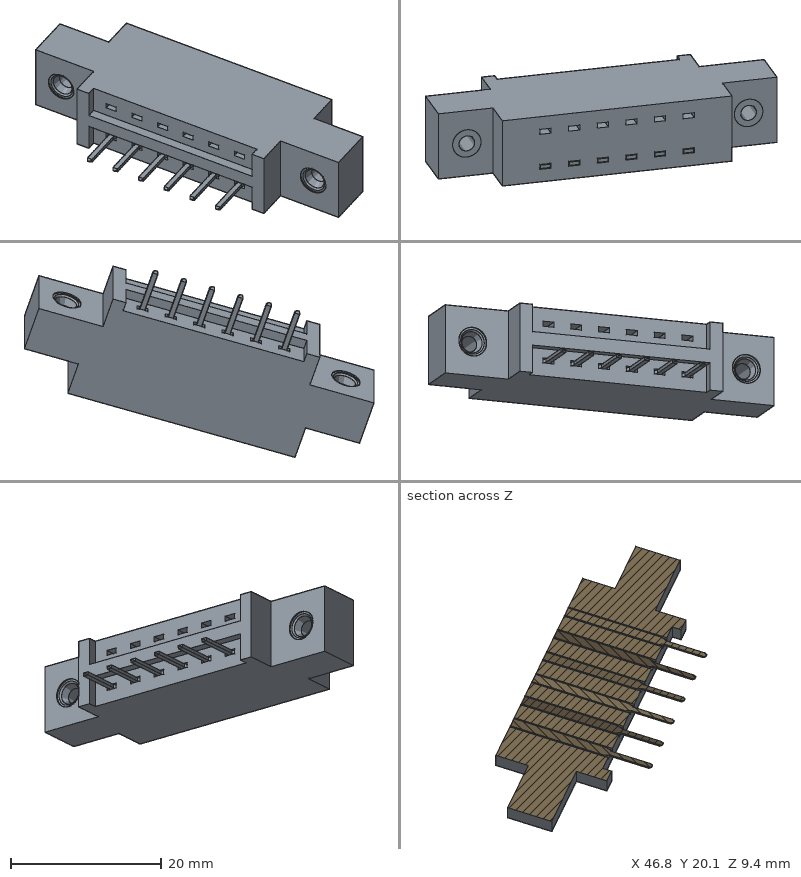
import cadquery as cq

LENGTH = 46.8
HEIGHT = 9.4
REAR_WIDTH = 31.72
REAR_DEPTH = 4.65
FLANGE_DEPTH = 6.35
NOSE_WIDTH = 28.85
NOSE_DEPTH = 4.35
HOUSING_DEPTH = NOSE_DEPTH + FLANGE_DEPTH + REAR_DEPTH

FLANGE_FRONT = NOSE_DEPTH
FLANGE_BACK = FLANGE_FRONT + FLANGE_DEPTH

RECESS_WIDTH = 25.2
RECESS_DEPTH = 1.25
RIB_HEIGHT = 1.85
RECESS_HEIGHT = (HEIGHT - RIB_HEIGHT) / 2
RECESS_Z = (RIB_HEIGHT + RECESS_HEIGHT) / 2

CONTACTS = 6
ROW_SPAN = 19.8
PITCH = ROW_SPAN / (CONTACTS - 1)
CONTACT_X = [-ROW_SPAN / 2 + i * PITCH for i in range(CONTACTS)]
ROW_Z = 2.55
SLOT_WIDTH = 1.55
SLOT_HEIGHT = 0.7

PIN_WIDTH = 0.7
PIN_THICKNESS = 0.45
PIN_REACH = 4.7
TIP_LENGTH = 0.35
TIP_WIDTH = 0.37
TIP_THICKNESS = 0.1
BLADE_WIDTH = 1.35
SHOULDER_LENGTH = 0.7

BUSHING_SPACING = 38.95
BUSHING_X = [-BUSHING_SPACING / 2, BUSHING_SPACING / 2]
BUSHING_RADIUS = 1.95
BUSHING_RECESS = 0.2
MOUTH_RADIUS = 1.7
THROAT_RADIUS = 1.45
BORE_RADIUS = 1.08
MOUTH_DEPTH = 0.25
TAPER_DEPTH = 1.05


def centred_box(width, height, y_start, y_end, x=0.0, z=0.0):
    """Box centred on (x, z) that runs from y_start to y_end."""
    depth = y_end - y_start
    return cq.Workplane("XY").box(width, depth, height).translate((x, y_start + depth / 2, z))


def make_housing():
    body = centred_box(NOSE_WIDTH, HEIGHT, 0, FLANGE_FRONT)
    body = body.union(centred_box(LENGTH, HEIGHT, FLANGE_FRONT, FLANGE_BACK))
    body = body.union(centred_box(REAR_WIDTH, HEIGHT, FLANGE_BACK, HOUSING_DEPTH))

    for side in (-1, 1):
        body = body.cut(centred_box(RECESS_WIDTH, RECESS_HEIGHT, 0, RECESS_DEPTH, z=side * RECESS_Z))
        for x in CONTACT_X:
            body = body.cut(centred_box(SLOT_WIDTH, SLOT_HEIGHT, 0, HOUSING_DEPTH, x, side * ROW_Z))

    for x in BUSHING_X:
        hole = cq.Workplane("XZ").center(x, 0).circle(BUSHING_RADIUS).extrude(-HOUSING_DEPTH)
        body = body.cut(hole)
    return body


def make_pin(x):
    """Blade lying in the lower slot, narrowing through sloped shoulders to a pin with a tapered tip."""
    shoulder_end = RECESS_DEPTH
    shoulder_start = shoulder_end + SHOULDER_LENGTH
    tip_start = TIP_LENGTH - PIN_REACH
    half_pin = PIN_WIDTH / 2
    half_blade = BLADE_WIDTH / 2
    right_side = [
        (half_pin, tip_start),
        (half_pin, shoulder_end),
        (half_blade, shoulder_start),
        (half_blade, HOUSING_DEPTH),
    ]
    left_side = [(-px, py) for px, py in reversed(right_side)]
    shank = (
        cq.Workplane("XY")
        .polyline(right_side + left_side)
        .close()
        .extrude(PIN_THICKNESS / 2, both=True)
    )
    tip = (
        cq.Workplane("XZ", origin=(0, tip_start, 0))
        .rect(PIN_WIDTH, PIN_THICKNESS)
        .workplane(offset=TIP_LENGTH)
        .rect(TIP_WIDTH, TIP_THICKNESS)
        .loft(ruled=True)
    )
    return shank.union(tip).translate((x, 0, -ROW_Z))


def make_bushing(x):
    """Sleeve whose bore narrows from a chamfered mouth through a taper to a straight hole."""
    front = FLANGE_FRONT + BUSHING_RECESS
    profile = [
        (BUSHING_RADIUS, front),
        (BUSHING_RADIUS, FLANGE_BACK),
        (BORE_RADIUS, FLANGE_BACK),
        (BORE_RADIUS, front + MOUTH_DEPTH + TAPER_DEPTH),
        (THROAT_RADIUS, front + MOUTH_DEPTH),
        (MOUTH_RADIUS, front),
    ]
    ring = cq.Workplane("XY").polyline(profile).close().revolve(360, (0, 0, 0), (0, 1, 0))
    return ring.translate((x, 0, 0))


housing = make_housing()
pins = [make_pin(x) for x in CONTACT_X]
bushings = [make_bushing(x) for x in BUSHING_X]

bodies = [housing, *pins, *bushings]
result = cq.Compound.makeCompound([body.val() for body in bodies])